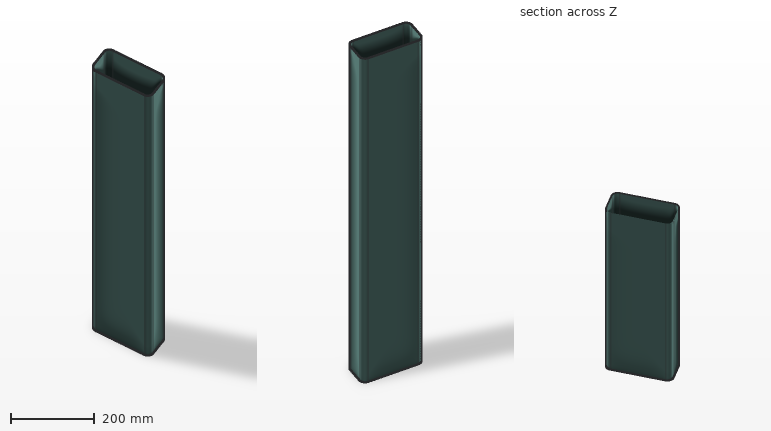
import cadquery as cq

width = 169.0
depth = 77.0
length = 1000.0

wall = 2.0
outer_radius = 16.0
inner_radius = outer_radius - wall


def rounded_bar(size_x, size_y, corner_radius):
    """Full-length bar along Z with rounded vertical edges."""
    bar = cq.Workplane("XY").rect(size_x, size_y).extrude(length)
    return bar.edges("|Z").fillet(corner_radius)


outer_body = rounded_bar(width, depth, outer_radius)
bore = rounded_bar(width - 2 * wall, depth - 2 * wall, inner_radius)

result = outer_body.cut(bore)